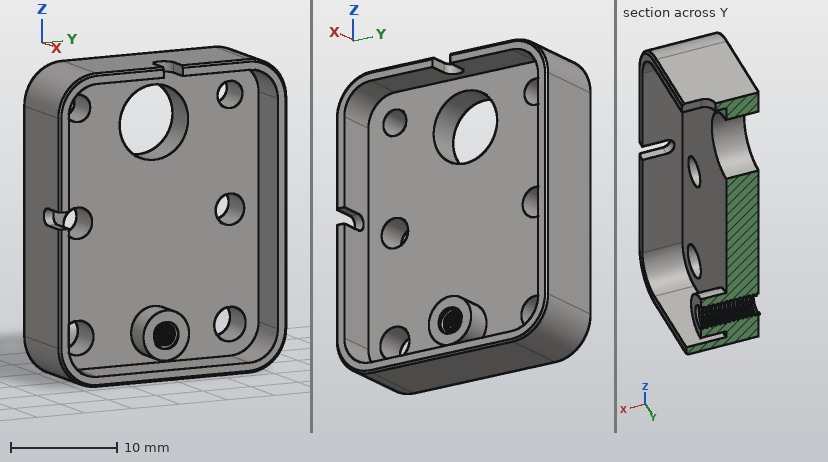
import cadquery as cq

WIDTH = 24.0
HEIGHT = 30.0
DEPTH = 7.35
CORNER_RADIUS = 4.0
RIM_CHAMFER = 0.2
WALL = 1.0
FLOOR = 3.3

HOLE_SPREAD = 8.0
BOTTOM_ROW_Z = 4.02
HOLE_ROWS = [(BOTTOM_ROW_Z, 3.3), (HEIGHT / 2, 3.0), (HEIGHT - BOTTOM_ROW_Z, 2.6)]
WINDOW_DIAMETER = 7.2
WINDOW_Z = 24.0

BOSS_RADIUS = 2.4
BOSS_TOP = 5.88
THREAD_MAJOR = 2.58
THREAD_MINOR = 2.07
THREAD_PITCH = 0.45
THREAD_OVERHANG = 0.15
RIDGE_ROOT = 0.42
RIDGE_CREST = 0.1
RIDGE_OVERLAP = 0.03

SIDE_SLOT_WIDTH = 1.62
SIDE_SLOT_LENGTH = 3.25
SIDE_SLOT_Z = 16.2
TOP_SLOT_WIDTH = 2.0
TOP_SLOT_LENGTH = 2.95


def rounded_block(start, end, margin, radius):
    """Rounded rectangle inset by margin, spanning start to end along X."""
    block = cq.Workplane("XY").box(end - start, WIDTH - 2 * margin, HEIGHT - 2 * margin)
    return block.edges("|X").fillet(radius).translate(((start + end) / 2, 0, HEIGHT / 2))


def x_cylinder(y, z, diameter, length):
    """Cylinder along X, starting at the closed face."""
    return cq.Workplane("YZ").center(y, z).circle(diameter / 2).extrude(length)


def slot_profile(plane, width, length):
    """Slot outline open at the rim, in a plane whose first axis is X."""
    round_center = DEPTH - length + width / 2
    return (
        cq.Workplane(plane)
        .moveTo(DEPTH, -width / 2)
        .lineTo(round_center, -width / 2)
        .threePointArc((DEPTH - length, 0), (round_center, width / 2))
        .lineTo(DEPTH, width / 2)
        .close()
    )


def thread_ridge():
    """Right-hand helical ridge, flush with the boss top at its inner end."""
    root_radius = THREAD_MAJOR / 2 + RIDGE_OVERLAP
    crest_radius = THREAD_MINOR / 2
    half_root = RIDGE_ROOT / 2
    start = half_root - THREAD_OVERHANG
    half_crest = RIDGE_CREST / 2
    path = cq.Wire.makeHelix(THREAD_PITCH, BOSS_TOP - half_root - start, THREAD_MAJOR / 2)
    ridge = (
        cq.Workplane("XZ")
        .polyline(
            [
                (root_radius, -half_root),
                (crest_radius, -half_crest),
                (crest_radius, half_crest),
                (root_radius, half_root),
            ]
        )
        .close()
        .sweep(cq.Workplane(obj=path), isFrenet=True)
    )
    return ridge.rotate((0, 0, 0), (0, 1, 0), 90).translate((start, 0, BOTTOM_ROW_Z))


body = rounded_block(0, DEPTH, 0, CORNER_RADIUS).faces(">X").edges().chamfer(RIM_CHAMFER)
body = body.cut(rounded_block(FLOOR, DEPTH, WALL, CORNER_RADIUS - WALL))
body = body.union(x_cylinder(0, BOTTOM_ROW_Z, 2 * BOSS_RADIUS, BOSS_TOP))

for row_z, diameter in HOLE_ROWS:
    for side in (-1, 1):
        body = body.cut(x_cylinder(side * HOLE_SPREAD, row_z, diameter, FLOOR))
body = body.cut(x_cylinder(0, WINDOW_Z, WINDOW_DIAMETER, FLOOR))

side_slot = slot_profile("XZ", SIDE_SLOT_WIDTH, SIDE_SLOT_LENGTH).extrude(WALL)
body = body.cut(side_slot.translate((0, WALL - WIDTH / 2, SIDE_SLOT_Z)))
top_slot = slot_profile("XY", TOP_SLOT_WIDTH, TOP_SLOT_LENGTH).extrude(WALL)
body = body.cut(top_slot.translate((0, 0, HEIGHT - WALL)))

body = body.cut(x_cylinder(0, BOTTOM_ROW_Z, THREAD_MAJOR, BOSS_TOP))
result = body.union(thread_ridge())